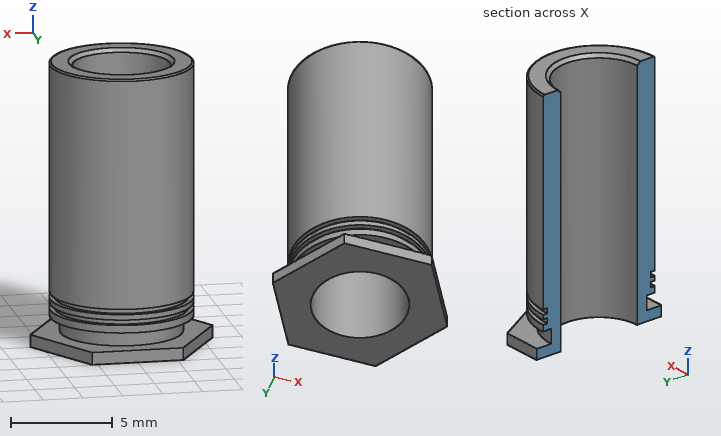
import cadquery as cq
import math

total_height = 14.29
head_across_flats = 7.92
head_thickness = 0.63

body_diameter = 7.12
neck_diameter = 6.1
neck_top = 1.41
top_chamfer = 0.09

groove_diameter = 6.6
groove_width = 0.27
groove_pitch = 0.55
groove_count = 2
first_groove_bottom = 1.8

bore_diameter = 4.85
mouth_diameter = 5.23


def cylinder(diameter, bottom, top):
    return cq.Workplane("XY").workplane(offset=bottom).circle(diameter / 2).extrude(top - bottom)


def hex_head():
    across_corners = head_across_flats / math.cos(math.pi / 6)
    return cq.Workplane("XY").polygon(6, across_corners).extrude(head_thickness)


def grooved_body():
    body = cylinder(body_diameter, neck_top, total_height).faces(">Z").chamfer(top_chamfer)
    for index in range(groove_count):
        bottom = first_groove_bottom + index * groove_pitch
        top = bottom + groove_width
        ring = cylinder(body_diameter, bottom, top).cut(cylinder(groove_diameter, bottom, top))
        body = body.cut(ring)
    return body


neck = cylinder(neck_diameter, head_thickness, neck_top)
bore = cylinder(bore_diameter, 0, total_height)
mouth_chamfer = (mouth_diameter - bore_diameter) / 2

result = hex_head().union(neck).union(grooved_body()).cut(bore)
result = result.faces(">Z").edges(cq.selectors.RadiusNthSelector(0)).chamfer(mouth_chamfer)